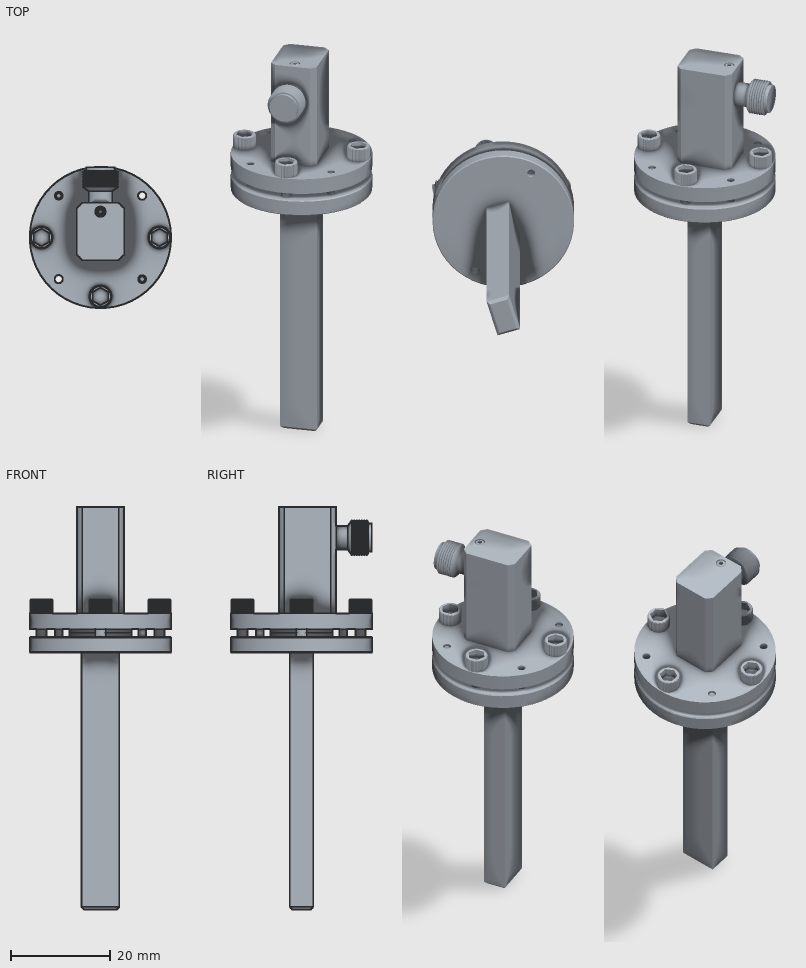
import cadquery as cq
import math


total_height = 81.28
adapter_height = 25.4
probe_length = total_height - adapter_height

flange_diameter = 28.575
adapter_flange_thickness = 3.18
probe_flange_thickness = 3.28
boss_diameter = 12.7
boss_height = 0.76
adapter_flange_top = boss_height + adapter_flange_thickness
probe_flange_bottom = -boss_height - probe_flange_thickness
probe_rim_chamfer = 0.2
bolt_circle_radius = 11.9
screw_angles = (0, 90, 180, 270)
pin_angles = (135, 315)
open_hole_angles = (45, 225)

block_width = 9.525
block_front = -4.57
block_back = 6.99
block_corner_chamfer = 1.1

probe_width = 7.68
probe_depth = 4.78
probe_tip_chamfer = 0.6

screw_shank_diameter = 2.1
screw_head_diameter = 4.56
screw_head_height = 2.8
screw_socket_width = 3.1
screw_socket_depth = 2.0
screw_rim_chamfer = 0.2
knurl_count = 48
knurl_depth = 0.15

pin_diameter = 1.6
pin_recess = 0.3
pin_tip_chamfer = 0.25

open_hole_diameter = pin_diameter

connector_drop = 6.2
connector_height = adapter_height - connector_drop
connector_face_inset = 0.1
connector_face = flange_diameter / 2 - connector_face_inset
connector_lip_diameter = 5.75
connector_lip_length = 0.75
thread_crest_diameter = 7.1
thread_root_diameter = 6.3
thread_pitch = 0.5
thread_ridges = 7
connector_neck_diameter = 4.8
taper_start_diameter = 6.5
taper_length = 0.6

set_screw_offset = 5.2
set_screw_diameter = 2.1
set_screw_length = 3.0
set_screw_socket_width = 0.9
set_screw_socket_depth = 1.0
set_screw_chamfer = 0.3


def on_bolt_circle(angle):
    """Point on the bolt circle at an angle in degrees from +X."""
    turn = math.radians(angle)
    return (bolt_circle_radius * math.cos(turn), bolt_circle_radius * math.sin(turn))


def cylinder(diameter, bottom, top, center=(0, 0)):
    """Upright cylinder between two heights."""
    return (
        cq.Workplane("XY", origin=(*center, bottom))
        .circle(diameter / 2)
        .extrude(top - bottom)
    )


def hex_socket(width, depth, top, center):
    """Hexagonal cutter with corners toward +Y and -Y, sunk from a top face."""
    corner_diameter = width / math.cos(math.pi / 6)
    return (
        cq.Workplane("XY", origin=(*center, top))
        .transformed(rotate=(0, 0, 90))
        .polygon(6, corner_diameter)
        .extrude(-depth)
    )


def drill_flange_holes(body):
    """Cut the screw, pin and open holes through both flange heights."""
    for angles, diameter in (
        (screw_angles, screw_shank_diameter),
        (pin_angles, pin_diameter),
        (open_hole_angles, open_hole_diameter),
    ):
        for angle in angles:
            hole = cylinder(diameter, probe_flange_bottom, adapter_flange_top, on_bolt_circle(angle))
            body = body.cut(hole)
    return body


def make_adapter():
    """Upper flange with its boss and the chamfered block above it."""
    block_depth = block_back - block_front
    block = (
        cq.Workplane("XY", origin=(0, (block_front + block_back) / 2, adapter_flange_top))
        .rect(block_width, block_depth)
        .extrude(adapter_height - adapter_flange_top)
        .edges("|Z")
        .chamfer(block_corner_chamfer)
    )
    flange = cylinder(flange_diameter, boss_height, adapter_flange_top)
    boss = cylinder(boss_diameter, 0, boss_height)
    body = drill_flange_holes(flange.union(boss).union(block))
    set_screw_hole = cylinder(
        set_screw_diameter, adapter_height - set_screw_length, adapter_height, (0, set_screw_offset)
    )
    return body.cut(set_screw_hole)


def make_probe():
    """Lower flange with its boss and the long tube below it."""
    flange = (
        cylinder(flange_diameter, probe_flange_bottom, -boss_height)
        .faces("<Z or >Z")
        .chamfer(probe_rim_chamfer)
    )
    boss = cylinder(boss_diameter, -boss_height, 0)
    tube = (
        cq.Workplane("XY", origin=(0, 0, probe_flange_bottom))
        .rect(probe_width, probe_depth)
        .extrude(-probe_length - probe_flange_bottom)
        .faces("<Z")
        .chamfer(probe_tip_chamfer)
    )
    return drill_flange_holes(flange.union(boss).union(tube))


def knurled_outline():
    """Points of the star-shaped outline of a knurled screw head."""
    crest = screw_head_diameter / 2
    root = crest - knurl_depth
    points = []
    for step in range(2 * knurl_count):
        radius = crest if step % 2 == 0 else root
        turn = math.pi * step / knurl_count
        points.append((radius * math.cos(turn), radius * math.sin(turn)))
    return points


def make_flange_screw(angle):
    """Socket-head screw seated on the adapter flange."""
    center = on_bolt_circle(angle)
    head_top = adapter_flange_top + screw_head_height
    head = (
        cq.Workplane("XY", origin=(*center, adapter_flange_top))
        .polyline(knurled_outline())
        .close()
        .extrude(screw_head_height)
    )
    rim_limit = (
        cylinder(screw_head_diameter, adapter_flange_top, head_top, center)
        .faces(">Z")
        .chamfer(screw_rim_chamfer)
    )
    shank = cylinder(screw_shank_diameter, probe_flange_bottom, adapter_flange_top, center)
    socket = hex_socket(screw_socket_width, screw_socket_depth, head_top, center)
    return head.intersect(rim_limit).cut(socket).union(shank)


def make_pin(angle):
    """Dowel pin through both flanges, its chamfered tip just below the upper face."""
    tip = adapter_flange_top - pin_recess
    pin = cylinder(pin_diameter, probe_flange_bottom, tip, on_bolt_circle(angle))
    return pin.faces(">Z").chamfer(pin_tip_chamfer)


def make_connector():
    """Threaded coaxial connector, turned about an axis along Y."""
    lip_radius = connector_lip_diameter / 2
    crest_radius = thread_crest_diameter / 2
    root_radius = thread_root_diameter / 2
    neck_radius = connector_neck_diameter / 2
    thread_front = connector_face - connector_lip_length
    thread_back = thread_front - thread_ridges * thread_pitch
    points = [(0, connector_face), (lip_radius, connector_face), (lip_radius, thread_front)]
    for ridge in range(thread_ridges):
        ridge_front = thread_front - ridge * thread_pitch
        points.append((root_radius, ridge_front))
        points.append((crest_radius, ridge_front - thread_pitch / 2))
    points += [
        (taper_start_diameter / 2, thread_back),
        (neck_radius, thread_back - taper_length),
        (neck_radius, block_back),
        (0, block_back),
    ]
    return (
        cq.Workplane("XY", origin=(0, 0, connector_height))
        .polyline(points)
        .close()
        .revolve(360, (0, 0, 0), (0, 1, 0))
    )


def make_set_screw():
    """Headless hex-socket screw flush with the top of the block."""
    center = (0, set_screw_offset)
    body = (
        cylinder(set_screw_diameter, adapter_height - set_screw_length, adapter_height, center)
        .faces(">Z")
        .chamfer(set_screw_chamfer)
    )
    return body.cut(hex_socket(set_screw_socket_width, set_screw_socket_depth, adapter_height, center))


adapter = make_adapter()
probe = make_probe()
connector = make_connector()
set_screw = make_set_screw()
flange_screws = [make_flange_screw(angle) for angle in screw_angles]
pins = [make_pin(angle) for angle in pin_angles]

result = cq.Compound.makeCompound(
    [
        adapter.val(),
        probe.val(),
        connector.val(),
        set_screw.val(),
        *[screw.val() for screw in flange_screws],
        *[pin.val() for pin in pins],
    ]
)